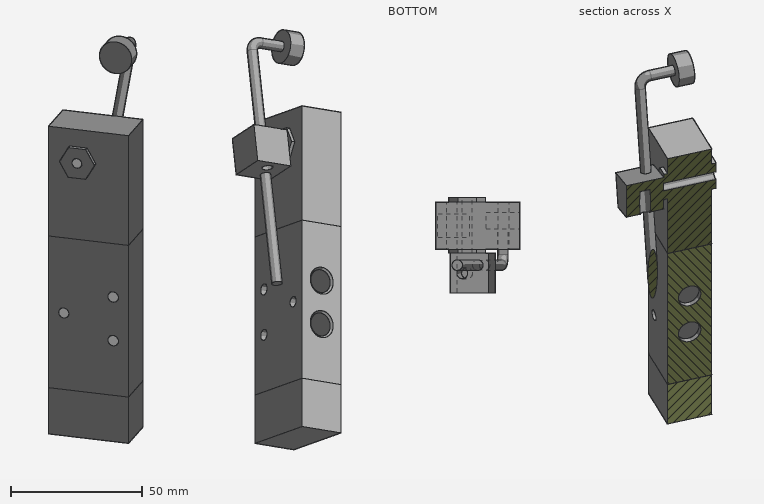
import cadquery as cq
import math


housing_width = 32.1
housing_depth = 18.0
housing_height = 126.1
cap_top = 19.0
valve_top = 81.1

right_hole_dia = 4.2
left_hole_dia = 4.0
mount_z = 50.3
right_hole_pitch = 17.9
right_hole_x = 26.0
left_hole_x = 6.2

port_mouth_dia = 10.5
port_dia = 9.0
port_chamfer = (port_mouth_dia - port_dia) / 2
port_depth = 13.0
port_z = 41.5
port_pitch = 17.0
port_count = 2

pivot_x = 12.0
pivot_z = 113.0
hex_flats = 12.2
hex_corners = hex_flats / math.cos(math.radians(30))
hex_front = 1.8
hex_rear = 1.5
pivot_hole_dia = 3.9

tilt = 10.0
block_size = 15.0
block_depth = 15.3
block_left = -4.7
block_bottom = -10.5
block_front = housing_depth + hex_rear
block_mid_y = block_front + block_depth / 2
set_screw_dia = 4.2

rod_dia = 4.0
rod_offset = 6.0
rod_y = 24.0
rod_bend = 4.0
rod_bottom_z = 57.1
knob_dia = 13.0
knob_length = 6.3
knob_front = 3.9
knob_z = housing_height + 29.7

tilt_cos = math.cos(math.radians(tilt))
tilt_sin = math.sin(math.radians(tilt))


def tilt_about_pivot(shape):
    """Lean a shape, drawn upright around the Y axis, and move it to the pivot."""
    return shape.rotate((0, 0, 0), (0, 1, 0), tilt).translate((pivot_x, 0, pivot_z))


def lever_length(z):
    """Distance along the leaning rod from the pivot level to a given height."""
    return (z - pivot_z + rod_offset * tilt_sin) / tilt_cos


def y_cylinder(dia, x, z, start, end):
    """Cylinder along Y from start to end."""
    return cq.Workplane("XZ", origin=(x, start, z)).circle(dia / 2).extrude(start - end)


def make_bar_section(bottom, top):
    """One block of the bar, between two heights."""
    bar = cq.Workplane("XY", origin=(0, 0, bottom))
    return bar.box(housing_width, housing_depth, top - bottom, centered=False)


def make_end_cap():
    return make_bar_section(0, cap_top)


def make_valve_body():
    body = make_bar_section(cap_top, valve_top)

    mounting_holes = [
        (left_hole_dia, left_hole_x, mount_z),
        (right_hole_dia, right_hole_x, mount_z - right_hole_pitch / 2),
        (right_hole_dia, right_hole_x, mount_z + right_hole_pitch / 2),
    ]
    for dia, x, z in mounting_holes:
        body = body.cut(y_cylinder(dia, x, z, 0, housing_depth))

    for index in range(port_count):
        port = (
            cq.Workplane("YZ", origin=(0, housing_depth / 2, port_z + index * port_pitch))
            .circle(port_dia / 2)
            .extrude(port_depth)
        )
        mouth = cq.Solid.makeCone(
            port_mouth_dia / 2, port_dia / 2, port_chamfer,
            cq.Vector(0, housing_depth / 2, port_z + index * port_pitch), cq.Vector(1, 0, 0),
        )
        body = body.cut(port).cut(cq.Workplane(mouth))
    return body


def make_pivot():
    return (
        cq.Workplane("XZ", origin=(pivot_x, -hex_front, pivot_z))
        .polygon(6, hex_corners)
        .extrude(-(hex_front + housing_depth + hex_rear))
    )


def make_block():
    block = cq.Workplane("XY").box(block_size, block_depth, block_size, centered=False)
    block = block.translate((block_left, block_front, block_bottom))

    set_screw_hole = (
        cq.Workplane("XY", origin=(0, block_mid_y, block_bottom))
        .circle(set_screw_dia / 2)
        .extrude(-block_bottom)
    )
    return tilt_about_pivot(block.cut(set_screw_hole))


def make_lever():
    rod_bottom = lever_length(rod_bottom_z)
    rod_top = lever_length(knob_z)
    bend_mid = rod_bend * (1 - math.sqrt(0.5))

    path = (
        cq.Workplane("YZ", origin=(rod_offset, 0, 0))
        .moveTo(rod_y, rod_bottom)
        .lineTo(rod_y, rod_top - rod_bend)
        .threePointArc((rod_y - bend_mid, rod_top - bend_mid), (rod_y - rod_bend, rod_top))
        .lineTo(knob_front, rod_top)
    )
    rod = (
        cq.Workplane("XY", origin=(rod_offset, rod_y, rod_bottom))
        .circle(rod_dia / 2)
        .sweep(path)
    )
    knob = y_cylinder(knob_dia, rod_offset, rod_top, knob_front, knob_front + knob_length)
    return tilt_about_pivot(rod.union(knob))


def make_lever_head():
    """Top block of the bar, carrying the pivot, the lever block and the lever."""
    head = make_bar_section(valve_top, housing_height).union(make_pivot())
    head = head.union(make_block()).union(make_lever())
    return head.cut(y_cylinder(pivot_hole_dia, pivot_x, pivot_z, -hex_front, block_front))


end_cap = make_end_cap()
valve_body = make_valve_body().solids()
lever_head = make_lever_head().solids()

result = cq.Compound.makeCompound([end_cap.val(), valve_body.val(), lever_head.val()])